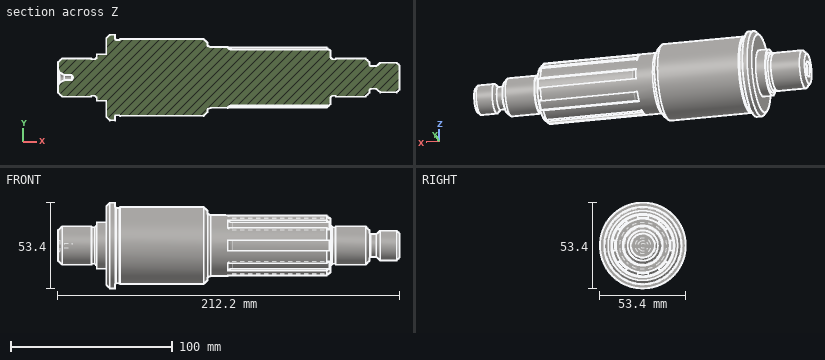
import cadquery as cq
import math


length = 212.2
collar_start = 24.0
flange_start = 30.0
flange_end = 35.5
body_end = 93.0
spline_start = 94.9
slot_start = 105.5
spline_end = 169.3
pin_end = 193.5
neck_end = 197.8
tip_start = 200.1

journal_diameter = 24.0
journal_radius = journal_diameter / 2
collar_diameter = 29.0
collar_radius = collar_diameter / 2
flange_radius = 26.7
body_radius = 24.0
body_foot_radius = 19.7
spline_diameter = 38.0
spline_radius = spline_diameter / 2
neck_radius = 7.2
tip_radius = 9.3

flange_chamfer = 2.3
journal_chamfer = 2.5
body_chamfer_length = 2.5
body_chamfer_drop = 2.3
spline_chamfer_length = 2.5
spline_chamfer_drop = 2.3
tip_chamfer = 2.0
neck_bevel = 0.6

relief_length = 3.2
relief_depth = 0.53
relief_run_in = 0.2
relief_ramp = 1.0
body_relief_length = 3.2
body_relief_ramp = 0.6

slot_count = 8
slot_width = 6.5
slot_floor_radius = 17.5
slot_runout = 2.8

guard_radius = 4.9
cone_radius = 3.2
pilot_radius = 1.5
pilot_end = 8.5
guard_half_angle = 60
cone_half_angle = 30
drill_half_angle = 59


def cone_depth(start_radius, end_radius, half_angle):
    """Axial length of a cone between two radii."""
    return (start_radius - end_radius) / math.tan(math.radians(half_angle))


def revolve_about_x(points):
    """Solid of revolution about the X axis from an (x, radius) outline."""
    return cq.Workplane("XY").polyline(points).close().revolve(360, (0, 0, 0), (1, 0, 0))


def make_shaft():
    relief_radius = journal_radius - relief_depth
    body_relief_radius = body_radius - relief_depth
    left_relief_start = collar_start - relief_length
    body_start = flange_end + body_relief_length
    pin_start = spline_end + relief_length
    return revolve_about_x([
        (0, 0),
        (0, journal_radius - journal_chamfer),
        (journal_chamfer, journal_radius),
        (left_relief_start, journal_radius),
        (left_relief_start + relief_run_in, relief_radius),
        (collar_start - relief_ramp, relief_radius),
        (collar_start, relief_radius + relief_ramp),
        (collar_start, collar_radius),
        (flange_start, collar_radius),
        (flange_start, flange_radius - flange_chamfer),
        (flange_start + flange_chamfer, flange_radius),
        (flange_end, flange_radius),
        (flange_end, body_relief_radius + body_relief_ramp),
        (flange_end + body_relief_ramp, body_relief_radius),
        (body_start - body_relief_ramp, body_relief_radius),
        (body_start, body_radius),
        (body_end - body_chamfer_length, body_radius),
        (body_end, body_radius - body_chamfer_drop),
        (body_end, body_foot_radius),
        (spline_start, spline_radius),
        (spline_end - spline_chamfer_length, spline_radius),
        (spline_end, spline_radius - spline_chamfer_drop),
        (spline_end, relief_radius + relief_ramp),
        (spline_end + relief_ramp, relief_radius),
        (pin_start - relief_run_in, relief_radius),
        (pin_start, journal_radius),
        (pin_end - journal_chamfer, journal_radius),
        (pin_end, journal_radius - journal_chamfer),
        (pin_end, neck_radius + neck_bevel),
        (pin_end + neck_bevel, neck_radius),
        (neck_end, neck_radius),
        (tip_start, tip_radius),
        (length - tip_chamfer, tip_radius),
        (length, tip_radius - tip_chamfer),
        (length, 0),
    ])


def make_slot():
    """Cutter for one spline slot at the top: round floor, arc runout at its left end."""
    clear = 2.1
    depth = spline_radius - slot_floor_radius
    runout_radius = (slot_runout**2 + depth**2) / (2 * depth)
    half_sweep = math.atan2(depth, slot_runout)
    floor_start = slot_start + slot_runout
    runout_middle = (
        floor_start - runout_radius * math.sin(half_sweep),
        slot_floor_radius + runout_radius * (1 - math.cos(half_sweep)),
    )
    ring = (
        cq.Workplane("XY")
        .moveTo(slot_start, spline_radius + clear)
        .lineTo(slot_start, spline_radius)
        .threePointArc(runout_middle, (floor_start, slot_floor_radius))
        .lineTo(spline_end, slot_floor_radius)
        .lineTo(spline_end, spline_radius + clear)
        .close()
        .revolve(360, (0, 0, 0), (1, 0, 0))
    )
    slot_band = cq.Workplane("XY").box(
        length, slot_width, spline_radius + clear, centered=(False, True, False)
    )
    return ring.intersect(slot_band)


def make_center_hole():
    guard_end = cone_depth(guard_radius, cone_radius, guard_half_angle)
    cone_end = guard_end + cone_depth(cone_radius, pilot_radius, cone_half_angle)
    drill_tip = pilot_end + cone_depth(pilot_radius, 0, drill_half_angle)
    return revolve_about_x([
        (0, 0),
        (0, guard_radius),
        (guard_end, cone_radius),
        (cone_end, pilot_radius),
        (pilot_end, pilot_radius),
        (drill_tip, 0),
    ])


result = make_shaft().cut(make_center_hole())
slot = make_slot()
for index in range(slot_count):
    angle = index * 360 / slot_count
    result = result.cut(slot.rotate((0, 0, 0), (1, 0, 0), angle))